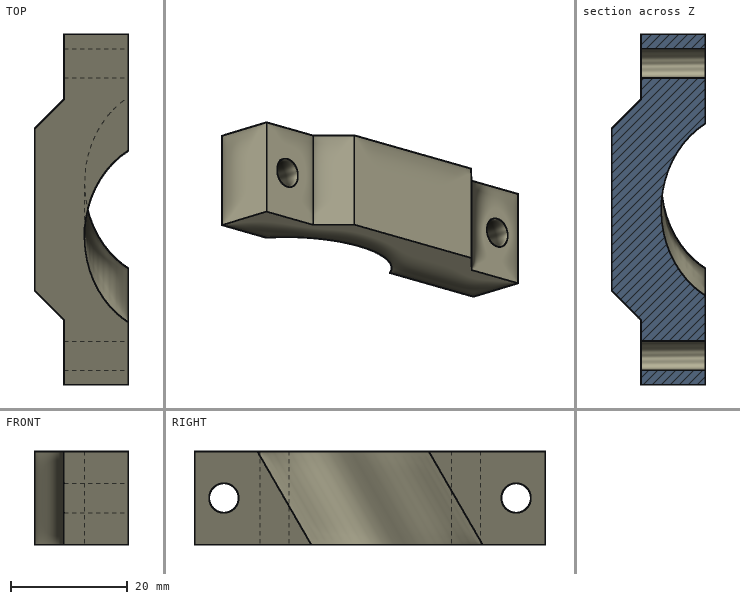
import cadquery as cq
import math

length = 60.0
height = 16.0
depth = 16.0

pad_rise = 5.0
pad_top_length = 27.8
pad_base_length = pad_top_length + 2 * pad_rise

hole_diameter = 5.0
hole_spacing = 50.0

saddle_radius = 14.5
saddle_depth = 7.5
saddle_tilt = 30.0

pad_face_x = -depth / 2
lug_face_x = pad_face_x + pad_rise
mating_face_x = depth / 2


def make_body():
    """Clamp outline seen along Z, extruded to full height."""
    outline = [
        (mating_face_x, -length / 2),
        (mating_face_x, length / 2),
        (lug_face_x, length / 2),
        (lug_face_x, pad_base_length / 2),
        (pad_face_x, pad_top_length / 2),
        (pad_face_x, -pad_top_length / 2),
        (lug_face_x, -pad_base_length / 2),
        (lug_face_x, -length / 2),
    ]
    return (
        cq.Workplane("XY")
        .workplane(offset=-height / 2)
        .polyline(outline)
        .close()
        .extrude(height)
    )


def make_saddle_cutter():
    """Tilted cylinder, long enough to pass through both Z faces."""
    tilt = math.radians(saddle_tilt)
    axis = cq.Vector(0, -math.sin(tilt), math.cos(tilt))
    axis_x = mating_face_x - saddle_depth + saddle_radius
    cutter_length = 2 * (height / math.cos(tilt) + saddle_radius)
    start = cq.Vector(axis_x, 0, 0) - axis * (cutter_length / 2)
    return cq.Solid.makeCylinder(saddle_radius, cutter_length, start, axis)


def make_screw_holes():
    """Pair of cylinders along X, one through each end lug."""
    return (
        cq.Workplane("YZ")
        .workplane(offset=pad_face_x)
        .pushPoints([(side * hole_spacing / 2, 0) for side in (-1, 1)])
        .circle(hole_diameter / 2)
        .extrude(depth)
    )


body = make_body()
body = body.cut(cq.Workplane(obj=make_saddle_cutter()))
result = body.cut(make_screw_holes())